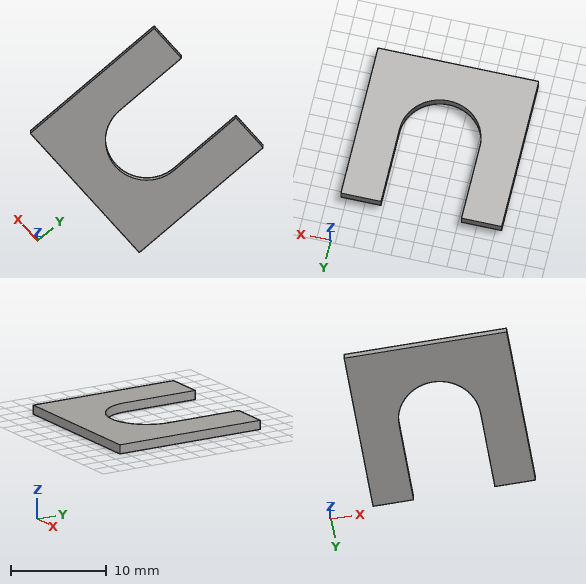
import cadquery as cq

side = 17.27
thickness = 1.0
slot_width = side / 2
slot_radius = slot_width / 2
half_side = side / 2

slot = (
    cq.Workplane("XY")
    .moveTo(slot_radius, half_side)
    .lineTo(slot_radius, 0)
    .threePointArc((0, -slot_radius), (-slot_radius, 0))
    .lineTo(-slot_radius, half_side)
    .close()
    .extrude(thickness)
)

plate = cq.Workplane("XY").rect(side, side).extrude(thickness)

result = plate.cut(slot)